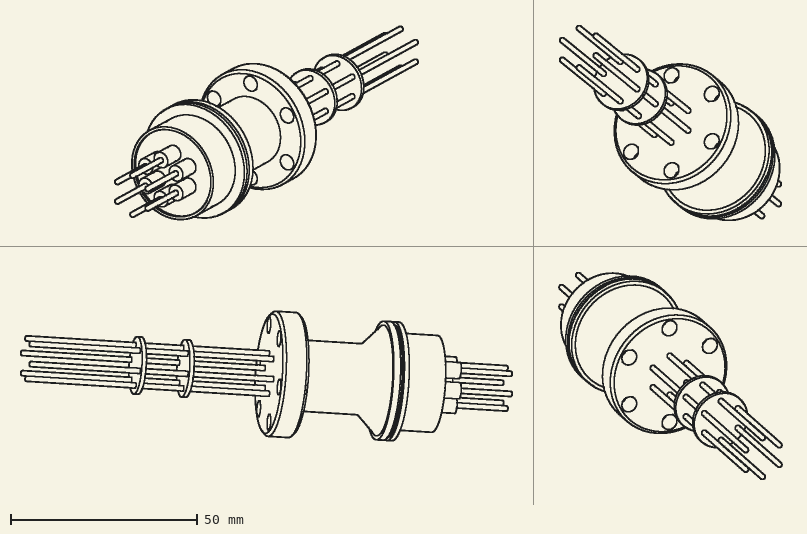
import cadquery as cq
import math

wire_length = 133.4
wire_radius = 0.73
wire_count = 6
wire_circle_radius = 5.6
wire_tip_fillet = 0.5

bushing_radius = 2.2
bushing_front = 14.5

shell_radius = 13.1
shell_front = 20.3
recess_radius = 12.3
recess_depth = 0.7
collar_radius = 16.0
collar_front = 31.1
collar_back = 35.3
collar_groove_front = 32.4
collar_groove_floor = 32.8
collar_groove_back = 33.5
collar_groove_depth = 0.8
cone_radius = 15.0
tube_radius = 9.6
cone_length = cone_radius - tube_radius
cone_fillet = 1.1

flange_radius = 16.87
flange_front = 58.8
flange_back = 66.0
flange_chamfer = 0.8
bolt_count = 6
bolt_circle_radius = 13.5
bolt_hole_radius = 2.1

disc_radius = 7.7
disc_thickness = 1.2
disc_centers = (89.1, 102.3)


def ring_points(count, radius):
    """Points (x, z) evenly spaced on a circle, the first one at the top."""
    angles = [math.pi / 2 + 2 * math.pi * i / count for i in range(count)]
    return [(radius * math.cos(a), radius * math.sin(a)) for a in angles]


def rod(radius, start, end, center=(0, 0)):
    """Cylinder along +Y between two stations."""
    x, z = center
    base = cq.Vector(x, start, z)
    return cq.Workplane(cq.Solid.makeCylinder(radius, end - start, base, cq.Vector(0, 1, 0)))


def make_body():
    """Shell, collar with a groove sloped on its back side, cone and tube."""
    groove_radius = collar_radius - collar_groove_depth
    neck = collar_back + cone_length
    outline = [
        (0, shell_front + recess_depth),
        (recess_radius, shell_front + recess_depth),
        (recess_radius, shell_front),
        (shell_radius, shell_front),
        (shell_radius, collar_front),
        (collar_radius, collar_front),
        (collar_radius, collar_groove_front),
        (groove_radius, collar_groove_front),
        (groove_radius, collar_groove_floor),
        (collar_radius, collar_groove_back),
        (collar_radius, collar_back),
        (cone_radius, collar_back),
        (tube_radius, neck),
        (tube_radius, flange_front),
        (0, flange_front),
    ]
    body = cq.Workplane("XY").polyline(outline).close().revolve(360, (0, 0), (0, 1))
    neck_edge = cq.selectors.NearestToPointSelector((tube_radius, neck, 0))
    return body.edges("%CIRCLE").edges(neck_edge).fillet(cone_fillet)


def make_flange():
    """Chamfered flange with a ring of through bolt holes."""
    flange = rod(flange_radius, flange_front, flange_back).edges("%CIRCLE").chamfer(flange_chamfer)
    for center in ring_points(bolt_count, bolt_circle_radius):
        flange = flange.cut(rod(bolt_hole_radius, flange_front, flange_back, center))
    return flange


def make_contact(center):
    """Round-tipped wire with its insulating bushing."""
    wire = rod(wire_radius, 0, wire_length, center).edges("%CIRCLE").fillet(wire_tip_fillet)
    bushing = rod(bushing_radius, bushing_front, shell_front + recess_depth, center)
    return bushing.union(wire)


def make_disc(station):
    """Thin spacer disc centred on a station."""
    half = disc_thickness / 2
    return rod(disc_radius, station - half, station + half)


result = make_body().union(make_flange())
for wire_center in ring_points(wire_count, wire_circle_radius):
    result = result.union(make_contact(wire_center))
for disc_center in disc_centers:
    result = result.union(make_disc(disc_center))